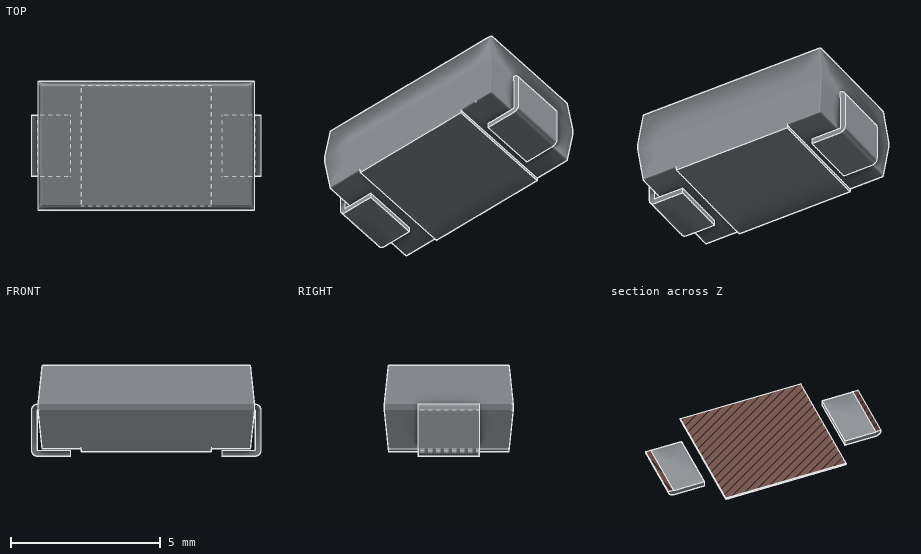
import cadquery as cq
import math

belt_length = 7.24
belt_width = 4.32
top_z = 3.05
belt_top_z = 1.75
belt_bottom_z = 1.55
base_z = 0.25
draft = math.tan(math.radians(6))
edge_radius = 0.05

pad_bottom_z = 0.15
pad_bottom_length = 4.34

lead_span = 7.68
lead_width = 2.04
lead_thickness = belt_top_z - belt_bottom_z
outer_bend_radius = (lead_span - belt_length) / 2
inner_bend_radius = outer_bend_radius - lead_thickness
foot_length = 1.31


def tapered_block(length, width, start_z, end_z):
    """Frustum with its large rectangle at start_z, narrowing by the draft towards end_z."""
    inset = draft * abs(end_z - start_z)
    return (
        cq.Workplane("XY", origin=(0, 0, start_z))
        .rect(length, width)
        .workplane(offset=end_z - start_z)
        .rect(length - 2 * inset, width - 2 * inset)
        .loft(ruled=True)
    )


def make_housing():
    """Belt with drafted upper and lower halves, rounded edges and a standoff pad."""
    belt = (
        cq.Workplane("XY", origin=(0, 0, belt_bottom_z))
        .rect(belt_length, belt_width)
        .extrude(belt_top_z - belt_bottom_z)
    )
    upper = tapered_block(belt_length, belt_width, belt_top_z, top_z)
    lower = tapered_block(belt_length, belt_width, belt_bottom_z, base_z)
    shell = belt.union(upper).union(lower)
    shell = shell.edges("(not (|X or |Y)) or >Z or <Z").fillet(edge_radius)

    pad_top_length = pad_bottom_length + 2 * draft * (belt_bottom_z - pad_bottom_z)
    pad = tapered_block(pad_top_length, belt_width, belt_bottom_z, pad_bottom_z)
    return shell.union(pad, clean=False)


def make_lead(side):
    """J-bend strip from the belt's end face down and under; side is -1 or 1 along X."""
    outer_x = lead_span / 2
    inner_x = outer_x - lead_thickness
    bend_x = outer_x - outer_bend_radius
    tip_x = outer_x - foot_length
    upper_bend_z = belt_top_z - outer_bend_radius
    lower_bend_z = outer_bend_radius
    profile = (
        cq.Workplane("XZ", origin=(0, lead_width / 2, 0))
        .moveTo(side * bend_x, belt_top_z)
        .radiusArc((side * outer_x, upper_bend_z), side * outer_bend_radius)
        .lineTo(side * outer_x, lower_bend_z)
        .radiusArc((side * bend_x, 0), side * outer_bend_radius)
        .lineTo(side * tip_x, 0)
        .lineTo(side * tip_x, lead_thickness)
        .lineTo(side * bend_x, lead_thickness)
        .radiusArc((side * inner_x, lower_bend_z), -side * inner_bend_radius)
        .lineTo(side * inner_x, upper_bend_z)
        .radiusArc((side * bend_x, belt_bottom_z), -side * inner_bend_radius)
        .close()
    )
    return profile.extrude(lead_width)


housing = make_housing()
leads = [make_lead(side) for side in (-1, 1)]

result = cq.Compound.makeCompound([housing.val(), *[lead.val() for lead in leads]])